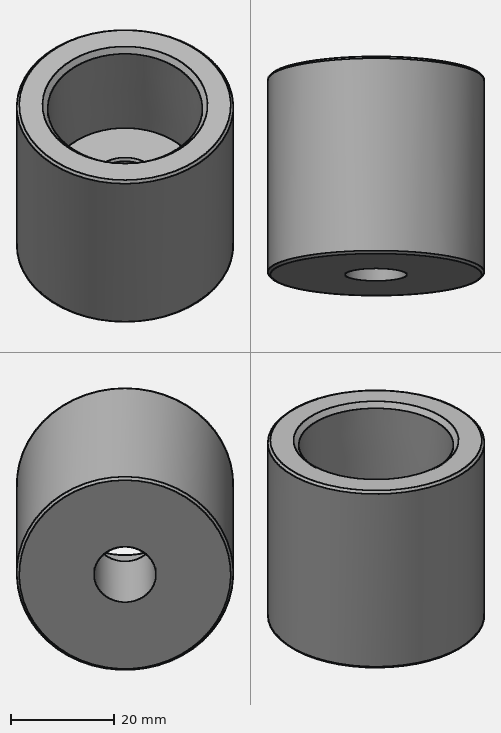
import cadquery as cq

outer_diameter = 42.0
height = 39.0
edge_chamfer = 0.5

bore_diameter = 30.0
bore_mouth_diameter = 32.0
bore_floor_diameter = 29.15
base_thickness = 18.0

hole_diameter = 12.0
hole_chamfer = 0.5

outer_radius = outer_diameter / 2
bore_radius = bore_diameter / 2
mouth_chamfer = (bore_mouth_diameter - bore_diameter) / 2


def make_body():
    """Solid cylinder with both outer rims chamfered."""
    return cq.Workplane("XY").circle(outer_radius).extrude(height).edges().chamfer(edge_chamfer)


def make_bore():
    """Revolved cutter: chamfered mouth, tapered wall and flat floor."""
    floor_radius = bore_floor_diameter / 2
    mouth_radius = bore_mouth_diameter / 2
    return (
        cq.Workplane("XZ")
        .moveTo(0, base_thickness)
        .lineTo(floor_radius, base_thickness)
        .lineTo(bore_radius, height - mouth_chamfer)
        .lineTo(mouth_radius, height)
        .lineTo(0, height)
        .close()
        .revolve(360, (0, 0, 0), (0, 1, 0))
    )


def make_hole():
    """Revolved cutter: through hole with a chamfer where it meets the bore floor."""
    hole_radius = hole_diameter / 2
    return (
        cq.Workplane("XZ")
        .lineTo(hole_radius, 0)
        .lineTo(hole_radius, base_thickness - hole_chamfer)
        .lineTo(hole_radius + hole_chamfer, base_thickness)
        .lineTo(0, base_thickness)
        .close()
        .revolve(360, (0, 0, 0), (0, 1, 0))
    )


result = make_body().cut(make_bore()).cut(make_hole())